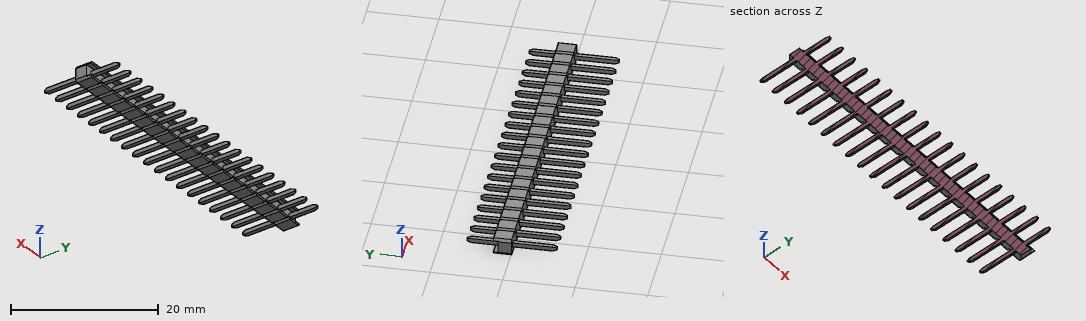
import cadquery as cq

pin_count = 19
pitch = 2.54
housing_length = pin_count * pitch
housing_depth = 2.5
housing_height = 2.5
bevel_width = 0.3
bevel_height = 0.4

channel_depth = 0.7
lip_thickness = 0.35
channel_height = housing_height - 2 * lip_thickness

pin_width = 0.64
tip_width = 0.32
tip_length = 0.55
pin_length = 12.4
front_reach = 6.1
pin_shift = -0.1
shank_length = pin_length - 2 * tip_length
pin_centre_y = pin_length / 2 - housing_depth / 2 - front_reach


def cell_centre_x(index):
    return (index - (pin_count - 1) / 2) * pitch


def make_cell(index):
    """One housing cell: an octagon in XZ, extruded along Y."""
    side_x = pitch / 2
    flat_x = side_x - bevel_width
    top_z = housing_height / 2
    side_z = top_z - bevel_height
    outline = [
        (-side_x, -side_z),
        (-flat_x, -top_z),
        (flat_x, -top_z),
        (side_x, -side_z),
        (side_x, side_z),
        (flat_x, top_z),
        (-flat_x, top_z),
        (-side_x, side_z),
    ]
    cell = cq.Workplane("XZ").polyline(outline).close().extrude(housing_depth / 2, both=True)
    return cell.translate((cell_centre_x(index), 0, 0))


def make_channel():
    """Cutter for the channel, open at both ends of the housing."""
    channel = cq.Workplane("XY").box(housing_length, channel_depth, channel_height)
    return channel.translate((0, (housing_depth - channel_depth) / 2, 0))


def make_pin(index):
    """A square pin along Y that tapers at both ends."""
    shank = cq.Workplane("XY").box(pin_width, shank_length, pin_width)
    pin = shank
    for end in (">Y", "<Y"):
        tip = (
            shank.faces(end).workplane(centerOption="CenterOfMass")
            .rect(pin_width, pin_width)
            .workplane(offset=tip_length)
            .rect(tip_width, tip_width)
            .loft(combine=False)
        )
        pin = pin.union(tip)
    pin_x = cell_centre_x(index) + pin_shift
    return pin.translate((pin_x, pin_centre_y, 0))


housing = make_cell(0)
for i in range(1, pin_count):
    housing = housing.union(make_cell(i))

result = housing.cut(make_channel())
for i in range(pin_count):
    result = result.union(make_pin(i))